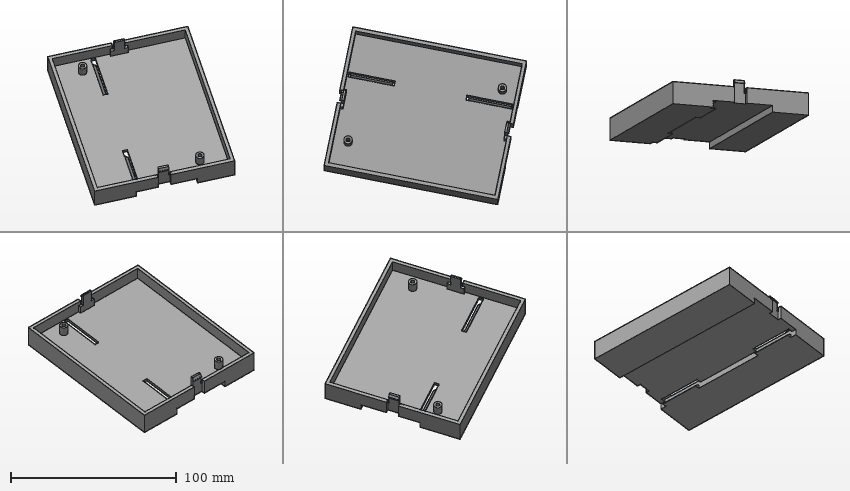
import cadquery as cq

length = 107
width = 87.7
wall_height = 13.8
wall = 2.2
floor_top = 6.0

channel_back = 20.5
channel_front = -17.8
channel_depth = 4.2

slot_length = 28.2
slot_width = 3.0
slot_from_end = 3.1
hook_length = 26.1
hook_from_slot_end = 0.9
hook_height = 2.2
hook_reach = 3.1

gap_width = 7.9
pad_width = 11.1
pad_thickness = 1.7
pad_top = 10.9
tab_width = 6.4
tab_top = 18.7
barb_reach = 0.9
barb_underside = 16.7
tab_lead_in = 0.4

post_x = 42.5
post_y = 25.0
post_diameter = 5.0
post_hole_diameter = 2.4
post_height = 6.1


def box(x_min, x_max, y_min, y_max, z_min, z_max):
    """Axis-aligned box between two corners."""
    size = (x_max - x_min, y_max - y_min, z_max - z_min)
    return cq.Workplane("XY").box(*size, centered=False).translate((x_min, y_min, z_min))


def make_tray():
    """Open box with a rail channel cut across its underside."""
    tray = cq.Workplane("XY").rect(length, width).extrude(wall_height)
    cavity = (
        cq.Workplane("XY", origin=(0, 0, floor_top))
        .rect(length - 2 * wall, width - 2 * wall)
        .extrude(wall_height - floor_top)
    )
    channel = box(-length / 2, length / 2, channel_front, channel_back, 0, channel_depth)
    return tray.cut(cavity).cut(channel)


def make_rail_slot():
    """Slot through the floor above the left rail hook."""
    slot_start = -length / 2 + slot_from_end
    slot_end = slot_start + slot_length
    return box(slot_start, slot_end, channel_front, channel_front + slot_width, channel_depth, floor_top)


def make_rail_hook():
    """Left rail hook: a 45 degree wedge with a flat top on the channel's front face."""
    hook_start = -length / 2 + slot_from_end + hook_from_slot_end
    return (
        cq.Workplane("YZ", origin=(hook_start, 0, 0))
        .moveTo(channel_front, 0)
        .lineTo(channel_front + hook_reach, 0)
        .lineTo(channel_front + hook_reach - hook_height, hook_height)
        .lineTo(channel_front, hook_height)
        .close()
        .extrude(hook_length)
    )


def make_wall_gap():
    """Full-height gap in the left end wall, outside the snap tab."""
    return box(-length / 2, -length / 2 + wall, -gap_width / 2, gap_width / 2, 0, wall_height)


def make_snap_tab():
    """Left snap tab: a barbed tongue rising from a wider pad inside the wall."""
    outer = -length / 2 + wall
    inner = outer + pad_thickness
    pad = box(outer, inner, -pad_width / 2, pad_width / 2, channel_depth, pad_top)
    tongue = (
        cq.Workplane("XZ")
        .moveTo(inner, pad_top)
        .lineTo(inner, tab_top)
        .lineTo(outer + tab_lead_in, tab_top)
        .lineTo(outer - barb_reach, barb_underside)
        .lineTo(outer, barb_underside)
        .lineTo(outer, pad_top)
        .close()
        .extrude(tab_width / 2, both=True)
    )
    return pad.union(tongue)


def make_posts():
    """Screw posts standing on the floor, with blind holes down to it."""
    return (
        cq.Workplane("XY", origin=(0, 0, floor_top))
        .pushPoints([(-post_x, -post_y), (post_x, post_y)])
        .circle(post_diameter / 2)
        .circle(post_hole_diameter / 2)
        .extrude(post_height)
    )


def both_ends(left_feature):
    """A left-end feature together with its mirror image at the right end."""
    return left_feature.union(left_feature.mirror("YZ"))


result = make_tray()
result = result.cut(both_ends(make_rail_slot()))
result = result.cut(both_ends(make_wall_gap()))
result = result.union(both_ends(make_rail_hook()))
result = result.union(both_ends(make_snap_tab()))
result = result.union(make_posts())